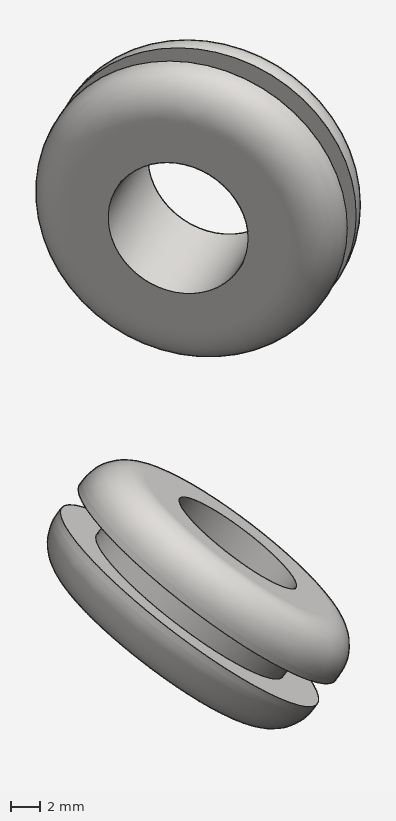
import cadquery as cq

outer_diameter = 22.0
bore_diameter = 10.0
groove_diameter = 16.0
total_width = 9.0
groove_width = 2.0
edge_radius = 3.0


def disc(diameter, width):
    """Solid disc around the Y axis, centred on the origin."""
    return cq.Workplane("XZ", origin=(0, width / 2, 0)).circle(diameter / 2).extrude(width)


def rounded_disc():
    """Full-width disc with both outer rims rounded."""
    return disc(outer_diameter, total_width).edges("%CIRCLE").fillet(edge_radius)


def panel_groove():
    """Annular volume removed from the middle of the rim."""
    return disc(outer_diameter, groove_width).cut(disc(groove_diameter, groove_width))


bore = disc(bore_diameter, total_width)

result = rounded_disc().cut(panel_groove()).cut(bore)